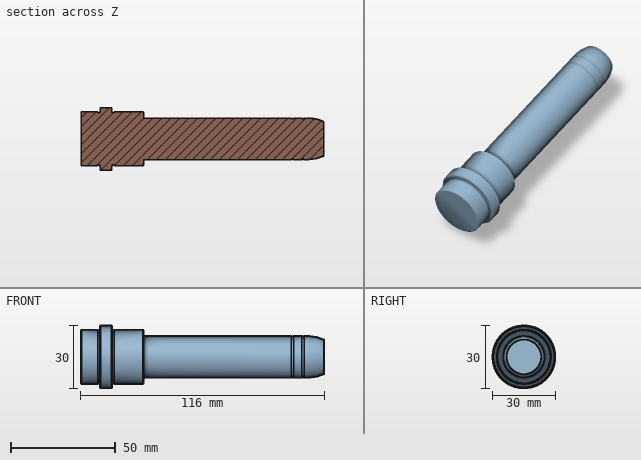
import cadquery as cq
import math

length = 116.0
head_radius = 26.0 / 2
collar_radius = 30.0 / 2
shank_radius = 20.0 / 2

collar_start = 9.0
collar_end = 15.0
shoulder = 30.0
nose_start = 108.7

head_chamfer = 0.5
collar_chamfer = 0.5
shoulder_chamfer = 0.5
shank_fillet = 0.5
relief_width = 1.0
relief_depth = 0.5

groove_starts = (100.5, 105.5)
groove_width = 1.0
groove_depth = 0.3

nose_end_radius = 8.2


def revolve_profile(sketch):
    """Close an outline and turn it about the X axis."""
    return sketch.close().revolve(360, (0, 0, 0), (1, 0, 0))


def make_body():
    """Solid pillar with head, collar, shoulder, shank and nose."""
    fillet_bend = shank_fillet * (1 - math.sqrt(0.5))
    profile = (
        cq.Workplane("XY")
        .moveTo(0, 0)
        .lineTo(0, head_radius - head_chamfer)
        .lineTo(head_chamfer, head_radius)
        .lineTo(collar_start, head_radius)
        .lineTo(collar_start, collar_radius - collar_chamfer)
        .lineTo(collar_start + collar_chamfer, collar_radius)
        .lineTo(collar_end - collar_chamfer, collar_radius)
        .lineTo(collar_end, collar_radius - collar_chamfer)
        .lineTo(collar_end, head_radius)
        .lineTo(shoulder - shoulder_chamfer, head_radius)
        .lineTo(shoulder, head_radius - shoulder_chamfer)
        .lineTo(shoulder, shank_radius + shank_fillet)
        .threePointArc(
            (shoulder + fillet_bend, shank_radius + fillet_bend),
            (shoulder + shank_fillet, shank_radius),
        )
        .lineTo(nose_start, shank_radius)
        .tangentArcPoint((length, nose_end_radius), relative=False)
        .lineTo(length, 0)
    )
    return revolve_profile(profile)


def ring_groove(start, width, radius, depth):
    """Shallow groove with an arc-shaped section, cut into a cylinder."""
    profile = (
        cq.Workplane("XY")
        .moveTo(start, radius)
        .threePointArc((start + width / 2, radius - depth), (start + width, radius))
    )
    return revolve_profile(profile)


result = make_body()
for relief_start in (collar_start - relief_width, collar_end):
    result = result.cut(ring_groove(relief_start, relief_width, head_radius, relief_depth))
for groove_start in groove_starts:
    result = result.cut(ring_groove(groove_start, groove_width, shank_radius, groove_depth))